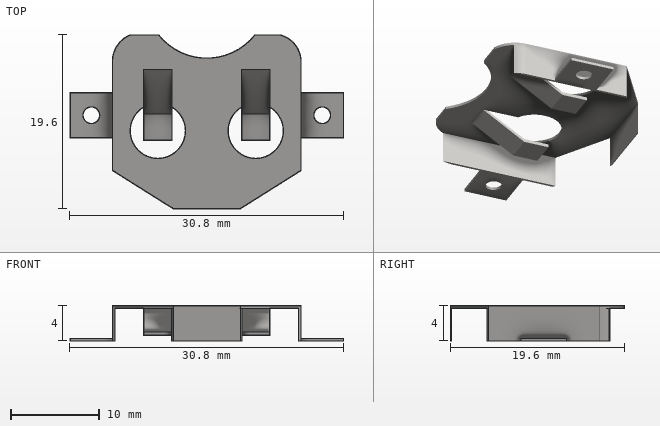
import cadquery as cq


overall_width = 30.8
body_width = 21.25
body_depth = 19.6
height = 4.0
sheet = 0.3
front_wall_thickness = 0.12
front_edge_width = 7.55
shoulder_y = 4.3

corner_drop = 2.8
left_corner_inset = 2.03
left_corner_mid_inset = 0.83
left_corner_mid_drop = 0.83
right_corner_inset = 2.37
right_corner_mid_inset = 0.83
right_corner_mid_drop = 0.92

notch_width = 10.85
notch_depth = 2.62

tongue_x = 5.5
tongue_width = 3.2
tongue_root_y = 15.68
tongue_bend_y = 10.65
tongue_tip_y = 7.7
tongue_foot_top = 1.02
tongue_thickness = 0.37
window_diameter = 6.2
window_y = 8.78

tab_length = (overall_width - body_width) / 2
tab_width = 5.1
tab_y = 10.53
tab_hole_x = 13.0
tab_hole_diameter = 1.85

half_width = body_width / 2
half_front = front_edge_width / 2


def block(x_min, x_max, y_min, y_max, z_min, z_max):
    size = (x_max - x_min, y_max - y_min, z_max - z_min)
    return cq.Workplane("XY").box(*size, centered=False).translate((x_min, y_min, z_min))


def body_envelope():
    """Full-height solid with the plan outline of the body, without the notch."""
    corner_y = body_depth - corner_drop
    left_middle = (-half_width + left_corner_mid_inset, body_depth - left_corner_mid_drop)
    right_middle = (half_width - right_corner_mid_inset, body_depth - right_corner_mid_drop)
    return (
        cq.Workplane("XY")
        .moveTo(-half_front, 0)
        .lineTo(half_front, 0)
        .lineTo(half_width, shoulder_y)
        .lineTo(half_width, corner_y)
        .threePointArc(right_middle, (half_width - right_corner_inset, body_depth))
        .lineTo(-half_width + left_corner_inset, body_depth)
        .threePointArc(left_middle, (-half_width, corner_y))
        .lineTo(-half_width, shoulder_y)
        .close()
        .extrude(height)
    )


def folded_shell():
    """Top plate with two side walls and a front wall."""
    half_cavity = half_width - sheet
    cavity = block(-half_cavity, half_cavity, front_wall_thickness, body_depth, 0, height - sheet)
    return body_envelope().cut(cavity)


def finger_notch():
    half_notch = notch_width / 2
    return (
        cq.Workplane("XY")
        .moveTo(-half_notch, body_depth)
        .threePointArc((0, body_depth - notch_depth), (half_notch, body_depth))
        .close()
        .extrude(height)
    )


def tongue_window(x):
    """Round opening joined to the straight slot left by the bent tongue."""
    round_opening = (
        cq.Workplane("XY").center(x, window_y).circle(window_diameter / 2).extrude(height)
    )
    half_tongue = tongue_width / 2
    slot = block(x - half_tongue, x + half_tongue, window_y, tongue_root_y, 0, height)
    return round_opening.union(slot)


def tongue(x):
    """Spring tongue sloping down from the plate to a flat foot."""
    profile = [
        (tongue_root_y, height),
        (tongue_bend_y, tongue_foot_top),
        (tongue_tip_y, tongue_foot_top),
        (tongue_tip_y, tongue_foot_top - tongue_thickness),
        (tongue_bend_y, tongue_foot_top - tongue_thickness),
        (tongue_root_y, height - sheet),
    ]
    return (
        cq.Workplane("YZ", origin=(x, 0, 0))
        .polyline(profile)
        .close()
        .extrude(tongue_width / 2, both=True)
    )


def mounting_tab(side):
    """Flat tab at the foot of a side wall; side is -1 for left and 1 for right."""
    x_min, x_max = sorted((side * (half_width - sheet), side * (half_width + tab_length)))
    tab = block(x_min, x_max, tab_y - tab_width / 2, tab_y + tab_width / 2, 0, sheet)
    hole = (
        cq.Workplane("XY")
        .center(side * tab_hole_x, tab_y)
        .circle(tab_hole_diameter / 2)
        .extrude(sheet)
    )
    return tab.cut(hole)


result = folded_shell().cut(finger_notch())
for x in (-tongue_x, tongue_x):
    result = result.cut(tongue_window(x)).union(tongue(x))
for side in (-1, 1):
    result = result.union(mounting_tab(side))